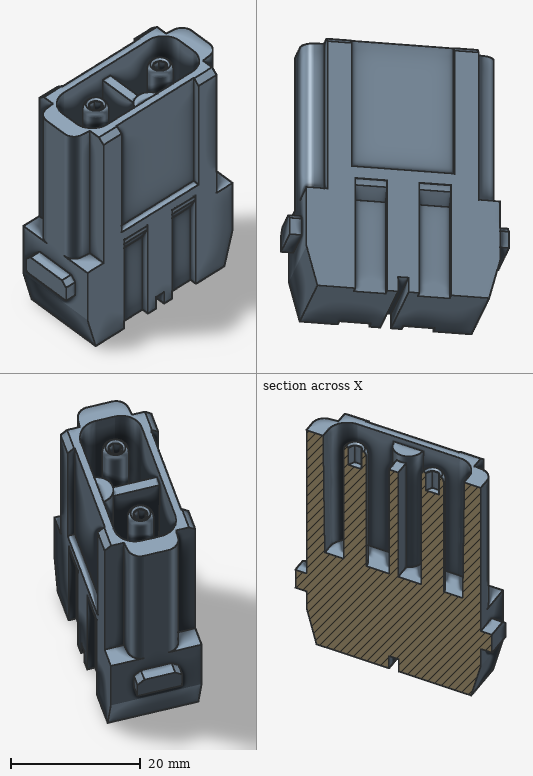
import cadquery as cq
import math

WIDTH = 14.6
LENGTH = 30.35
HEIGHT = 41.8
SHELF_Z = 16.3
TAPER_HEIGHT = 6.48
TAPER_INSET = 1.7

CORE_LENGTH = 23.65
BULGE_FLAT_WIDTH = 4.0
BULGE_RADIUS = 2.05
BULGE_FLANK_ANGLE = 6.0
RIM_CHAMFER_WIDTH = 1.05
RIM_CHAMFER_HEIGHT = 0.88

PANEL_WIDTH = 16.15
PANEL_BOTTOM_Z = 20.35
PANEL_DEPTH = 1.15

CHANNEL_WIDTH = 4.97
CHANNEL_OFFSET = 5.0
CHANNEL_DEPTH = 1.25
CHANNEL_TOP_Z = 18.45
RAMP_TOP_Z = 17.35
RAMP_BOTTOM_Z = 15.25
PAD_DEPTH = 0.2

NOTCH_WIDTH = 1.67
NOTCH_HEIGHT = 2.42

LUG_PROJECTION = 1.92
LUG_BOTTOM_Z = 9.82
LUG_TOP_Z = 13.45
LUG_CHAMFER_HEIGHT = 0.9
FRONT_LUG_WIDTH = 9.0
FRONT_LUG_CHAMFER_WIDTH = 0.9
BACK_LUG_WIDTH = 7.2
BACK_LUG_CHAMFER_WIDTH = 1.13

CAVITY_WIDTH = 9.82
CAVITY_LENGTH = 24.5
CAVITY_CORNER_RADIUS = 3.35
CAVITY_FLOOR_Z = 18.8
CAVITY_DRAFT_INSET = 0.3

DIVIDER_THICKNESS = 1.65
DIVIDER_TOP_Z = 39.4
KEY_RADIUS = 2.45
KEY_ROOT_FILLET = 0.25
KEY_TOP_Z = 40.75

PIN_SPACING = 13.45
PIN_DIAMETER = 4.0
PIN_TOP_Z = 41.4
PIN_RIM_DIAMETER = 3.1
PIN_ROUNDING_RADIUS = 1.35
COUNTERSINK_DEPTH = 0.35
HEX_ACROSS_FLATS = 1.92
HEX_DEPTH = 3.35


def box(x_min, x_max, y_min, y_max, z_min, z_max):
    """Axis-aligned block between the given limits."""
    size = (x_max - x_min, y_max - y_min, z_max - z_min)
    return cq.Workplane("XY").box(*size, centered=False).translate((x_min, y_min, z_min))


def both_wide_sides(shape):
    """A shape on the -X side together with its mirror image on the +X side."""
    return shape.union(shape.mirror("YZ"))


def lower_block():
    """Block below the shelf, with both ends tapering towards the bottom."""
    half_length = LENGTH / 2
    bottom_half_length = half_length - TAPER_INSET
    return (
        cq.Workplane("YZ")
        .moveTo(-bottom_half_length, 0)
        .lineTo(bottom_half_length, 0)
        .lineTo(half_length, TAPER_HEIGHT)
        .lineTo(half_length, SHELF_Z)
        .lineTo(-half_length, SHELF_Z)
        .lineTo(-half_length, TAPER_HEIGHT)
        .close()
        .extrude(WIDTH / 2, both=True)
    )


def shroud_core():
    """Rectangular part of the shroud, with its long top edges chamfered."""
    half_width = WIDTH / 2
    rim_half_width = half_width - RIM_CHAMFER_WIDTH
    chamfer_z = HEIGHT - RIM_CHAMFER_HEIGHT
    return (
        cq.Workplane("XZ")
        .moveTo(-half_width, SHELF_Z)
        .lineTo(half_width, SHELF_Z)
        .lineTo(half_width, chamfer_z)
        .lineTo(rim_half_width, HEIGHT)
        .lineTo(-rim_half_width, HEIGHT)
        .lineTo(-half_width, chamfer_z)
        .close()
        .extrude(CORE_LENGTH / 2, both=True)
    )


def end_bulge():
    """Rounded bulge on the -Y end of the shroud, running back to the middle of the core."""
    end_y = -LENGTH / 2
    root_y = -CORE_LENGTH / 2
    center_x = BULGE_FLAT_WIDTH / 2
    center_y = end_y + BULGE_RADIUS
    flank = math.radians(BULGE_FLANK_ANGLE)
    arc_middle = (math.pi / 2 + flank) / 2

    tangent_x = center_x + BULGE_RADIUS * math.cos(flank)
    tangent_y = center_y - BULGE_RADIUS * math.sin(flank)
    middle_x = center_x + BULGE_RADIUS * math.cos(arc_middle)
    middle_y = center_y - BULGE_RADIUS * math.sin(arc_middle)
    root_x = tangent_x + (root_y - tangent_y) * math.tan(flank)
    return (
        cq.Workplane("XY", origin=(0, 0, SHELF_Z))
        .moveTo(-center_x, end_y)
        .lineTo(center_x, end_y)
        .threePointArc((middle_x, middle_y), (tangent_x, tangent_y))
        .lineTo(root_x, root_y)
        .lineTo(root_x, 0)
        .lineTo(-root_x, 0)
        .lineTo(-root_x, root_y)
        .lineTo(-tangent_x, tangent_y)
        .threePointArc((-middle_x, middle_y), (-center_x, end_y))
        .close()
        .extrude(HEIGHT - SHELF_Z)
    )


def lug(width, chamfer_width):
    """Lug on the -Y end, with its upper corners chamfered."""
    half_width = width / 2
    chamfer_z = LUG_TOP_Z - LUG_CHAMFER_HEIGHT
    return (
        cq.Workplane("XZ", origin=(0, -LENGTH / 2, 0))
        .moveTo(-half_width, LUG_BOTTOM_Z)
        .lineTo(half_width, LUG_BOTTOM_Z)
        .lineTo(half_width, chamfer_z)
        .lineTo(half_width - chamfer_width, LUG_TOP_Z)
        .lineTo(-half_width + chamfer_width, LUG_TOP_Z)
        .lineTo(-half_width, chamfer_z)
        .close()
        .extrude(LUG_PROJECTION)
    )


def side_panel():
    """Recess in the upper part of the -X side, open at the top."""
    side_x = -WIDTH / 2
    half_panel = PANEL_WIDTH / 2
    return box(side_x, side_x + PANEL_DEPTH, -half_panel, half_panel, PANEL_BOTTOM_Z, HEIGHT)


def side_channel(center_y):
    """Channel in the -X side, open at the bottom, ramping out to a shallow pad at the top."""
    side_x = -WIDTH / 2
    pad_x = side_x + PAD_DEPTH
    floor_x = side_x + CHANNEL_DEPTH
    return (
        cq.Workplane("XZ", origin=(0, center_y, 0))
        .moveTo(side_x, 0)
        .lineTo(floor_x, 0)
        .lineTo(floor_x, RAMP_BOTTOM_Z)
        .lineTo(pad_x, RAMP_TOP_Z)
        .lineTo(pad_x, CHANNEL_TOP_Z)
        .lineTo(side_x, CHANNEL_TOP_Z)
        .close()
        .extrude(CHANNEL_WIDTH / 2, both=True)
    )


def bottom_notch():
    """Notch through the whole width in the middle of the bottom."""
    half_notch = NOTCH_WIDTH / 2
    return box(-WIDTH / 2, WIDTH / 2, -half_notch, half_notch, 0, NOTCH_HEIGHT)


def cavity():
    """Rounded cavity that narrows slightly from the rim to its floor."""
    depth = HEIGHT - CAVITY_FLOOR_Z
    draft_angle = math.degrees(math.atan(CAVITY_DRAFT_INSET / depth))
    outline = cq.Sketch().rect(CAVITY_WIDTH, CAVITY_LENGTH).vertices().fillet(CAVITY_CORNER_RADIUS)
    return (
        cq.Workplane("XY", origin=(0, 0, HEIGHT))
        .placeSketch(outline)
        .extrude(-depth, taper=draft_angle)
    )


def divider():
    """Wall across the cavity between the two pins."""
    half_width = CAVITY_WIDTH / 2
    half_thickness = DIVIDER_THICKNESS / 2
    return box(-half_width, half_width, -half_thickness, half_thickness, CAVITY_FLOOR_Z, DIVIDER_TOP_Z)


def coding_key():
    """Half-round key on the +X wall of the cavity, with filleted roots."""
    wall_x = CAVITY_WIDTH / 2
    fillet_x = wall_x - KEY_ROOT_FILLET
    fillet_y = math.sqrt((KEY_RADIUS + KEY_ROOT_FILLET) ** 2 - KEY_ROOT_FILLET**2)
    root_angle = math.atan2(fillet_y, KEY_ROOT_FILLET)
    root_x = wall_x - KEY_RADIUS * math.cos(root_angle)
    root_y = KEY_RADIUS * math.sin(root_angle)
    fillet_middle_x = fillet_x + KEY_ROOT_FILLET * math.cos(root_angle / 2)
    fillet_middle_y = fillet_y - KEY_ROOT_FILLET * math.sin(root_angle / 2)
    return (
        cq.Workplane("XY", origin=(0, 0, CAVITY_FLOOR_Z))
        .moveTo(wall_x, fillet_y)
        .threePointArc((fillet_middle_x, fillet_middle_y), (root_x, root_y))
        .threePointArc((wall_x - KEY_RADIUS, 0), (root_x, -root_y))
        .threePointArc((fillet_middle_x, -fillet_middle_y), (wall_x, -fillet_y))
        .close()
        .extrude(KEY_TOP_Z - CAVITY_FLOOR_Z)
    )


def contact_pin(center_y):
    """Pin with a rounded shoulder, a countersunk tip and a hexagon socket."""
    radius = PIN_DIAMETER / 2
    rim_radius = PIN_RIM_DIAMETER / 2
    socket_corner_diameter = HEX_ACROSS_FLATS / math.cos(math.pi / 6)
    arc_center_r = radius - PIN_ROUNDING_RADIUS
    arc_end_angle = math.acos((rim_radius - arc_center_r) / PIN_ROUNDING_RADIUS)
    arc_start_z = PIN_TOP_Z - PIN_ROUNDING_RADIUS * math.sin(arc_end_angle)
    arc_middle = (
        arc_center_r + PIN_ROUNDING_RADIUS * math.cos(arc_end_angle / 2),
        arc_start_z + PIN_ROUNDING_RADIUS * math.sin(arc_end_angle / 2),
    )
    tip_z = PIN_TOP_Z - COUNTERSINK_DEPTH
    body = (
        cq.Workplane("XZ")
        .moveTo(0, CAVITY_FLOOR_Z)
        .lineTo(radius, CAVITY_FLOOR_Z)
        .lineTo(radius, arc_start_z)
        .threePointArc(arc_middle, (rim_radius, PIN_TOP_Z))
        .lineTo(socket_corner_diameter / 2, tip_z)
        .lineTo(0, tip_z)
        .close()
        .revolve(360, (0, 0, 0), (0, 1, 0))
    )
    socket = (
        cq.Workplane("XY", origin=(0, 0, tip_z))
        .transformed(rotate=(0, 0, 90))
        .polygon(6, socket_corner_diameter)
        .extrude(-HEX_DEPTH)
    )
    return body.cut(socket).translate((0, center_y, 0))


front_lug = lug(FRONT_LUG_WIDTH, FRONT_LUG_CHAMFER_WIDTH)
back_lug = lug(BACK_LUG_WIDTH, BACK_LUG_CHAMFER_WIDTH).mirror("XZ")
result = lower_block().union(shroud_core())
result = result.union(end_bulge()).union(end_bulge().mirror("XZ"))
result = result.union(front_lug).union(back_lug)

result = result.cut(both_wide_sides(side_panel()))
for channel_y in (-CHANNEL_OFFSET, CHANNEL_OFFSET):
    result = result.cut(both_wide_sides(side_channel(channel_y)))
result = result.cut(bottom_notch())

result = result.cut(cavity())
result = result.union(divider()).union(coding_key())
for pin_y in (-PIN_SPACING / 2, PIN_SPACING / 2):
    result = result.union(contact_pin(pin_y))